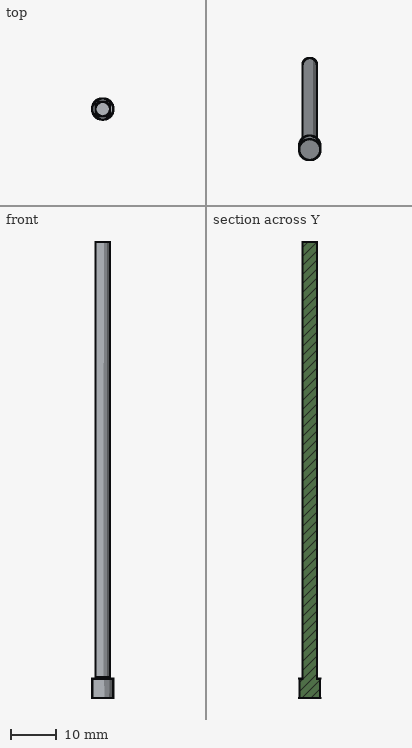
import cadquery as cq
total_length = 100.0
shank_diameter = 3.2
head_diameter = 4.7
neck_top_height = 4.6
x_shoulder_height = 4.3
y_shoulder_height = 4.2

neck_width = shank_diameter


def make_head():
    """Round head, full diameter up to the top of the neck."""
    return cq.Workplane("XY").circle(head_diameter / 2).extrude(neck_top_height)


def make_side_cutter(size_x, size_y, center_x, center_y, shoulder_height):
    """Block that clears one side of the neck down to its shoulder."""
    return (
        cq.Workplane("XY")
        .workplane(offset=shoulder_height)
        .center(center_x, center_y)
        .rect(size_x, size_y)
        .extrude(neck_top_height)
    )


def cut_square_neck(head):
    """Step the head on four sides, leaving a square neck above the shoulders."""
    cutter_offset = (neck_width + head_diameter) / 2
    for side in (-1, 1):
        offset = side * cutter_offset
        head = head.cut(make_side_cutter(head_diameter, head_diameter, offset, 0, x_shoulder_height))
        head = head.cut(make_side_cutter(head_diameter, head_diameter, 0, offset, y_shoulder_height))
    return head


def make_shank():
    """Round shank running the full length of the part."""
    return cq.Workplane("XY").circle(shank_diameter / 2).extrude(total_length)


result = cut_square_neck(make_head()).union(make_shank())